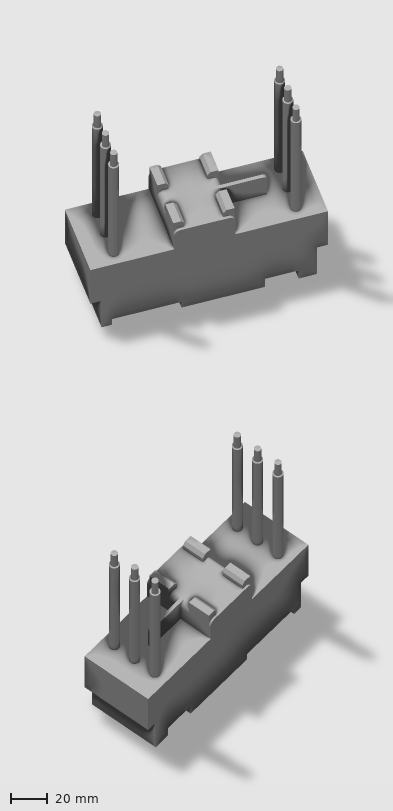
import cadquery as cq

width = 45.0
length = 135.6
base_length = 122.8
step_height = 22.5
body_height = 50.85

rear_notch_start = 31.8
rear_notch_end = 51.0
rear_notch_depth = 6.8
front_notch_start = -55.6
front_notch_end = -15.8
front_notch_depth = 4.8

block_front = -20.0
block_rear = 15.0
block_top = 65.85
block_radius = 4.0

detail_center_x = -0.2
hook_width = 14.0
hook_spacing = 28.1
hook_depth = 6.5
hook_top = 71.1
hook_chamfer = 2.0

rib_thickness = 2.2
rib_end = 40.0
rib_radius = 2.0

wire_center_x = 0.25
wire_pitch = 14.4
wire_row_y = 52.0
wire_radius = 3.0
core_radius = 2.0
core_length = 10.0
wire_top = 135.85


def box_between(x_range, y_range, z_range):
    """Box spanning the given (low, high) limits along each axis."""
    sizes = [high - low for low, high in (x_range, y_range, z_range)]
    corner = (x_range[0], y_range[0], z_range[0])
    return cq.Workplane("XY").box(*sizes, centered=False).translate(corner)


full_width = (-width / 2, width / 2)


def make_housing():
    """Stepped housing with two notches across its mounting face."""
    base = box_between(full_width, (-base_length / 2, base_length / 2), (0, step_height))
    upper = box_between(full_width, (-length / 2, length / 2), (step_height, body_height))
    rear_notch = box_between(full_width, (rear_notch_start, rear_notch_end), (0, rear_notch_depth))
    front_notch = box_between(full_width, (front_notch_start, front_notch_end), (0, front_notch_depth))
    return base.union(upper).cut(rear_notch).cut(front_notch)


def make_block():
    """Raised block with rounded front and rear top edges."""
    block = box_between(full_width, (block_front, block_rear), (body_height, block_top))
    return block.edges("|X and >Z").fillet(block_radius)


def make_hook(center_x, outer_y, inward):
    """Hook flush with a block end; inward (+1 or -1) is the Y direction of its chamfered side."""
    inner_y = outer_y + inward * hook_depth
    x_range = (center_x - hook_width / 2, center_x + hook_width / 2)
    y_range = (min(outer_y, inner_y), max(outer_y, inner_y))
    hook = box_between(x_range, y_range, (body_height, hook_top))
    chamfered_edge = "|X and >Z and >Y" if inward > 0 else "|X and >Z and <Y"
    return hook.edges(chamfered_edge).chamfer(hook_chamfer)


def make_rib():
    """Rib level with the block top, rounded at its end and reaching in past the block's rear rounding."""
    x_range = (detail_center_x - rib_thickness / 2, detail_center_x + rib_thickness / 2)
    rib = box_between(x_range, (block_rear - block_radius, rib_end), (body_height, block_top))
    return rib.edges("|X and >Z and >Y").fillet(rib_radius)


def make_wire(x, y):
    """Upright insulated wire with a thinner bare core at its tip."""
    insulation_length = wire_top - core_length - body_height
    wire = cq.Workplane("XY", origin=(x, y, body_height)).circle(wire_radius).extrude(insulation_length)
    return wire.faces(">Z").workplane().circle(core_radius).extrude(core_length)


result = make_housing().union(make_block()).union(make_rib())

for side in (-1, 1):
    hook_x = detail_center_x + side * hook_spacing / 2
    result = result.union(make_hook(hook_x, block_front, 1))
    result = result.union(make_hook(hook_x, block_rear, -1))

for column in (-1, 0, 1):
    for row in (-1, 1):
        result = result.union(make_wire(wire_center_x + column * wire_pitch, row * wire_row_y))